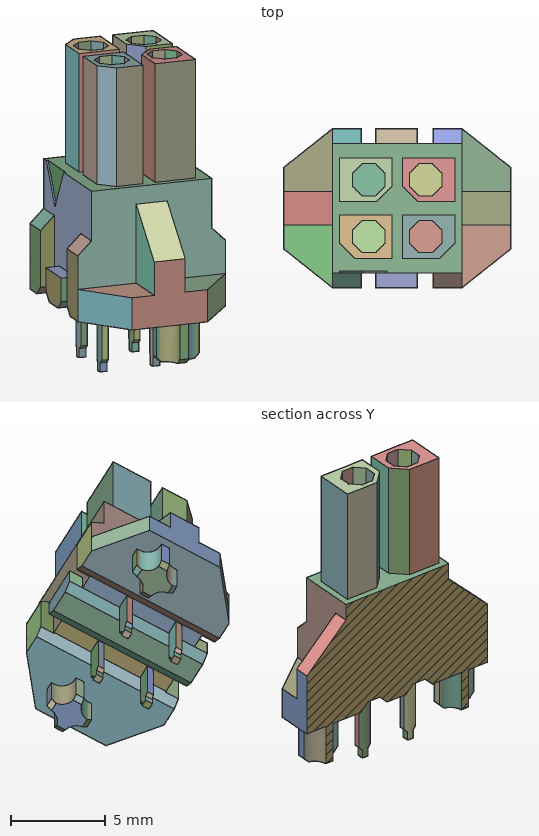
import cadquery as cq
import math


LENGTH_X = 12.0
WIDTH_Y = 8.4
TOTAL_HEIGHT = 17.0
TOP_Z = 13.57
PIN_TIP_Z = TOP_Z - TOTAL_HEIGHT

PITCH = 3.0

BODY_SIZE = 6.84
BODY_HEIGHT = 7.07

TOWER_X = 2.75
TOWER_GAP_X = 0.58
TOWER_Y = 2.3
TOWER_CHAMFER = 0.8
CAVITY_ACROSS_FLATS = 1.7

WING_HEIGHT = 1.77
WING_END_WIDTH = 4.3
RIB_WIDTH = 1.76
RIB_OUTER_Z = 3.6
RIB_INNER_Z = 6.1

CORNER_BLOCK_INNER_X = 1.9
CORNER_BLOCK_OUTER_Z = 3.6
CORNER_BLOCK_INNER_Z = 4.35
CENTER_BLOCK_HEIGHT = WING_HEIGHT

CONTACT_OFFSET = -0.04
CHANNEL_DEPTH = 0.48
CHANNEL_ROOF_WIDTH = 0.8
PIN_WIDTH = 0.76
PIN_SIDE_THICKNESS = 0.36
PIN_CROWN = 0.06
PIN_TIP_WIDTH = 0.38
PIN_SHOULDER_Z = -2.74
PIN_ROW_SHIFT = -0.5

PEG_X = 4.5
PEG_REACH_X = 1.13
PEG_REACH_Y = 1.225
PEG_RIB_WIDTH = 0.48
PEG_FLUTE_RADIUS = 0.8
PEG_LENGTH = 2.3
PEG_CHAMFER = 0.28

ARROW_LEFT_X = -3.05
ARROW_WIDTH = 2.5
ARROW_HEIGHT = 2.2
ARROW_DEPTH = 0.1

OVERLAP = 0.2
HALF_BODY = BODY_SIZE / 2
HALF_X = LENGTH_X / 2
HALF_Y = WIDTH_Y / 2
CONTACT_XS = [side * PITCH / 2 + CONTACT_OFFSET for side in (-1, 1)]
PIN_ROW_YS = [side * PITCH / 2 + PIN_ROW_SHIFT + CONTACT_OFFSET for side in (-1, 1)]
PEG_Y = PIN_ROW_YS[1]


def box(x0, x1, y0, y1, z0, z1):
    """Box between two opposite corners."""
    return cq.Workplane("XY").box(x1 - x0, y1 - y0, z1 - z0, centered=False).translate((x0, y0, z0))


def prism_along_y(points, y0, y1):
    """Extrude an XZ outline from y0 to y1."""
    return cq.Workplane("XZ", origin=(0, y0, 0)).polyline(points).close().extrude(y0 - y1)


def prism_along_x(points, x0, x1):
    """Extrude a YZ outline from x0 to x1."""
    return cq.Workplane("YZ", origin=(x0, 0, 0)).polyline(points).close().extrude(x1 - x0)


def tower(x, y, chamfered_edge):
    """Rectangular tower with one chamfered upright edge."""
    height = TOP_Z - BODY_HEIGHT + OVERLAP
    column = cq.Workplane("XY").box(TOWER_X, TOWER_Y, height, centered=(True, True, False))
    column = column.edges(chamfered_edge).chamfer(TOWER_CHAMFER)
    return column.translate((x, y, BODY_HEIGHT - OVERLAP))


def towers():
    """Front row chamfered at its outer front corners, back row at its inner front corners."""
    x = (TOWER_GAP_X + TOWER_X) / 2
    y = PITCH / 2
    group = tower(-x, -y, "|Z and <X and <Y")
    group = group.union(tower(x, -y, "|Z and >X and <Y"))
    group = group.union(tower(-x, y, "|Z and >X and <Y"))
    return group.union(tower(x, y, "|Z and <X and <Y"))


def cavities():
    """Octagonal contact cavities, as deep as the towers are tall."""
    across_corners = CAVITY_ACROSS_FLATS / math.cos(math.pi / 8)
    octagon = (
        cq.Workplane("XY", origin=(0, 0, BODY_HEIGHT))
        .polygon(8, across_corners)
        .extrude(TOP_Z - BODY_HEIGHT)
        .rotate((0, 0, 0), (0, 0, 1), 180 / 8)
    )
    corners = cq.Workplane("XY").rarray(PITCH, PITCH, 2, 2)
    return corners.eachpoint(lambda place: octagon.val().moved(place), combine=False)


def wings():
    """Tapered foot at each end with an upright sloped rib on it."""
    foot_outline = [
        (HALF_BODY, -HALF_Y),
        (HALF_X, -WING_END_WIDTH / 2),
        (HALF_X, WING_END_WIDTH / 2),
        (HALF_BODY, HALF_Y),
        (HALF_BODY - OVERLAP, HALF_Y),
        (HALF_BODY - OVERLAP, -HALF_Y),
    ]
    rib_outline = [
        (HALF_BODY - OVERLAP, 0),
        (HALF_X, 0),
        (HALF_X, RIB_OUTER_Z),
        (HALF_BODY, RIB_INNER_Z),
        (HALF_BODY - OVERLAP, RIB_INNER_Z),
    ]
    foot = cq.Workplane("XY").polyline(foot_outline).close().extrude(WING_HEIGHT)
    wing = foot.union(prism_along_y(rib_outline, -RIB_WIDTH / 2, RIB_WIDTH / 2))
    return wing.union(wing.mirror("YZ"))


def blocks():
    """Sloped corner blocks and a flat center block on the front and back faces."""
    corner_outline = [
        (-HALF_Y, 0),
        (-HALF_Y, CORNER_BLOCK_OUTER_Z),
        (-HALF_BODY, CORNER_BLOCK_INNER_Z),
        (HALF_BODY, CORNER_BLOCK_INNER_Z),
        (HALF_Y, CORNER_BLOCK_OUTER_Z),
        (HALF_Y, 0),
    ]
    corners = prism_along_x(corner_outline, CORNER_BLOCK_INNER_X, HALF_BODY)
    corners = corners.union(corners.mirror("YZ"))
    center_x0 = CONTACT_XS[0] + CHANNEL_ROOF_WIDTH / 2
    center_x1 = CONTACT_XS[1] - CHANNEL_ROOF_WIDTH / 2
    center = box(center_x0, center_x1, -HALF_Y, HALF_Y, 0, CENTER_BLOCK_HEIGHT)
    return corners.union(center)


def channel(x):
    """Flared relief channel across the underside, over one column of pins."""
    half_roof = CHANNEL_ROOF_WIDTH / 2
    half_mouth = half_roof + CHANNEL_DEPTH
    outline = [
        (x - half_mouth, 0),
        (x - half_roof, CHANNEL_DEPTH),
        (x + half_roof, CHANNEL_DEPTH),
        (x + half_mouth, 0),
    ]
    return prism_along_y(outline, -HALF_Y, HALF_Y)


def arrow():
    """Triangular recess marking circuit one, pointing down on the front face."""
    outline = [
        (ARROW_LEFT_X, BODY_HEIGHT),
        (ARROW_LEFT_X + ARROW_WIDTH, BODY_HEIGHT),
        (ARROW_LEFT_X + ARROW_WIDTH / 2, BODY_HEIGHT - ARROW_HEIGHT),
    ]
    return prism_along_y(outline, -HALF_BODY, -HALF_BODY + ARROW_DEPTH)


def pin(x, y):
    """Flat pin with a crowned front face, stepped down to a narrow tip."""
    half = PIN_WIDTH / 2
    half_tip = PIN_TIP_WIDTH / 2
    root_z = CHANNEL_DEPTH + OVERLAP
    thickness = PIN_SIDE_THICKNESS + PIN_CROWN
    back_y = thickness / 2
    side_y = back_y - PIN_SIDE_THICKNESS
    tip_start_z = PIN_SHOULDER_Z - (half - half_tip)
    bar = (
        cq.Workplane("XY", origin=(0, 0, PIN_TIP_Z))
        .moveTo(half, side_y)
        .lineTo(half, back_y)
        .lineTo(-half, back_y)
        .lineTo(-half, side_y)
        .threePointArc((0, side_y - PIN_CROWN), (half, side_y))
        .close()
        .extrude(root_z - PIN_TIP_Z)
    )
    silhouette = [
        (-half, root_z),
        (-half, PIN_SHOULDER_Z),
        (-half_tip, tip_start_z),
        (-half_tip, PIN_TIP_Z),
        (half_tip, PIN_TIP_Z),
        (half_tip, tip_start_z),
        (half, PIN_SHOULDER_Z),
        (half, root_z),
    ]
    return bar.intersect(prism_along_y(silhouette, -thickness, thickness)).translate((x, y, 0))


def peg(x):
    """Four-ribbed locating peg with a quarter-round flute between neighboring ribs."""
    rib = PEG_RIB_WIDTH / 2
    root = rib + PEG_FLUTE_RADIUS
    mid = root - PEG_FLUTE_RADIUS * math.sqrt(0.5)
    blank = (
        cq.Workplane("XY", origin=(0, 0, -PEG_LENGTH))
        .rect(2 * PEG_REACH_X, 2 * PEG_REACH_Y)
        .extrude(PEG_LENGTH + OVERLAP)
        .faces("<Z")
        .chamfer(PEG_CHAMFER)
    )
    ribs = (
        cq.Workplane("XY", origin=(0, 0, -PEG_LENGTH))
        .moveTo(PEG_REACH_X, -rib)
        .lineTo(PEG_REACH_X, rib)
        .lineTo(root, rib)
        .threePointArc((mid, mid), (rib, root))
        .lineTo(rib, PEG_REACH_Y)
        .lineTo(-rib, PEG_REACH_Y)
        .lineTo(-rib, root)
        .threePointArc((-mid, mid), (-root, rib))
        .lineTo(-PEG_REACH_X, rib)
        .lineTo(-PEG_REACH_X, -rib)
        .lineTo(-root, -rib)
        .threePointArc((-mid, -mid), (-rib, -root))
        .lineTo(-rib, -PEG_REACH_Y)
        .lineTo(rib, -PEG_REACH_Y)
        .lineTo(rib, -root)
        .threePointArc((mid, -mid), (root, -rib))
        .close()
        .extrude(PEG_LENGTH + OVERLAP)
    )
    return blank.intersect(ribs).translate((x, PEG_Y, 0))


body = box(-HALF_BODY, HALF_BODY, -HALF_BODY, HALF_BODY, 0, BODY_HEIGHT)
housing = body.union(wings()).union(blocks()).union(towers())
housing = housing.cut(cavities()).cut(arrow())
for contact_x in CONTACT_XS:
    housing = housing.cut(channel(contact_x))
    for row_y in PIN_ROW_YS:
        housing = housing.union(pin(contact_x, row_y))
for peg_x in (-PEG_X, PEG_X):
    housing = housing.union(peg(peg_x))

result = housing